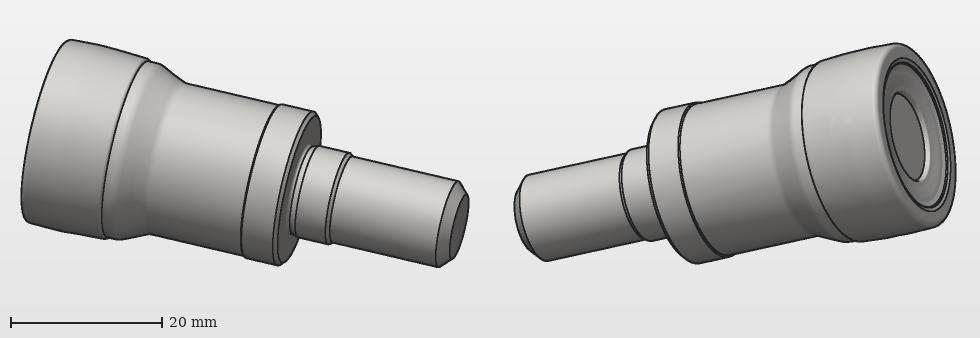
import cadquery as cq
import math


TOTAL_LENGTH = 57

CAP_LENGTH = 11.2
CAP_MAX_RADIUS = 12.6
CAP_MAX_RADIUS_X = 4.55
CAP_FRONT_RADIUS = 12.5
CAP_BACK_RADIUS = 12.3
CAP_FRONT_FILLET = 0.7
CAP_BACK_FILLET = 0.45

DISH_RIM_RADIUS = 10.4
RIM_SLOPE_RADIUS = 9.85
RIM_SLOPE_DEPTH = 0.15
STEP_RADIUS = 9.7
STEP_DEPTH = 0.35
LEDGE_RADIUS = 9.0
LEDGE_DEPTH = 0.55
CONE_OUTER_RADIUS = 8.4
CONE_OUTER_DEPTH = 0.6
CONE_INNER_RADIUS = 6.8
CONE_INNER_DEPTH = 0.9
LIP_FILLET = 0.2
LIP_RADIUS = 6.25
LIP_DEPTH = 0.95
HUB_FACE_DEPTH = 1.65

SHAFT_RADIUS = 11.75 / 2
HUB_RADIUS = SHAFT_RADIUS
FLANGE_RADIUS = 24.0 / 2
BODY_RADIUS = 20.6 / 2
BAND_RADIUS = 21.0 / 2
COLLAR_RADIUS = 12.5 / 2
NECK_RADIUS = 5.9
SHOULDER_FILLET = 2.0

SHOULDER_START = 12.75
SHOULDER_END = 16.6
BAND_START = 29.85
BAND_END = 34.9
BAND_FRONT_CHAMFER = 0.15
BAND_BACK_CHAMFER = 0.5
NECK_FILLET = 0.45
COLLAR_START = 36.2
COLLAR_END = 40.85
COLLAR_CHAMFER = 0.5
TIP_CHAMFER = 1.5


def revolve_about_x(profile):
    """Turn a closed (x, radius) profile into a solid about the X axis."""
    return profile.close().revolve(360, (0, 0, 0), (1, 0, 0))


def quarter_arc_middle(center_x, center_radius, fillet, x_side, radius_side):
    """Middle point of a quarter round; the sides (+1 or -1) pick the quadrant."""
    offset = fillet * math.sqrt(0.5)
    return (center_x + x_side * offset, center_radius + radius_side * offset)


def make_cap():
    front_center_radius = CAP_FRONT_RADIUS - CAP_FRONT_FILLET
    back_center = (CAP_LENGTH - CAP_BACK_FILLET, CAP_BACK_RADIUS - CAP_BACK_FILLET)
    bore_mouth = (LIP_DEPTH + LIP_FILLET, LIP_RADIUS - LIP_FILLET)

    profile = (
        cq.Workplane("XY")
        .moveTo(0, DISH_RIM_RADIUS)
        .lineTo(0, front_center_radius)
        .threePointArc(
            quarter_arc_middle(CAP_FRONT_FILLET, front_center_radius, CAP_FRONT_FILLET, -1, 1),
            (CAP_FRONT_FILLET, CAP_FRONT_RADIUS),
        )
        .threePointArc((CAP_MAX_RADIUS_X, CAP_MAX_RADIUS), (back_center[0], CAP_BACK_RADIUS))
        .threePointArc(
            quarter_arc_middle(*back_center, CAP_BACK_FILLET, 1, 1),
            (CAP_LENGTH, back_center[1]),
        )
        .lineTo(CAP_LENGTH, HUB_RADIUS)
        .lineTo(HUB_FACE_DEPTH, HUB_RADIUS)
        .lineTo(*bore_mouth)
        .threePointArc(
            quarter_arc_middle(bore_mouth[0], LIP_RADIUS, LIP_FILLET, -1, -1),
            (LIP_DEPTH, LIP_RADIUS),
        )
        .lineTo(CONE_INNER_DEPTH, CONE_INNER_RADIUS)
        .lineTo(CONE_OUTER_DEPTH, CONE_OUTER_RADIUS)
        .lineTo(LEDGE_DEPTH, LEDGE_RADIUS)
        .lineTo(STEP_DEPTH, STEP_RADIUS)
        .lineTo(RIM_SLOPE_DEPTH, RIM_SLOPE_RADIUS)
    )
    return revolve_about_x(profile)


def make_stem():
    shoulder_length = SHOULDER_END - SHOULDER_START
    shoulder_angle = math.atan2(FLANGE_RADIUS - BODY_RADIUS, shoulder_length)
    tangent_length = SHOULDER_FILLET * math.tan(shoulder_angle / 2)
    tangent_x = tangent_length * math.cos(shoulder_angle)
    tangent_drop = tangent_length * math.sin(shoulder_angle)

    neck_start = BAND_END + NECK_FILLET
    neck_root = quarter_arc_middle(neck_start, NECK_RADIUS + NECK_FILLET, NECK_FILLET, -1, -1)

    profile = (
        cq.Workplane("XY")
        .moveTo(HUB_FACE_DEPTH, 0)
        .lineTo(HUB_FACE_DEPTH, HUB_RADIUS)
        .lineTo(CAP_LENGTH, HUB_RADIUS)
        .lineTo(CAP_LENGTH, FLANGE_RADIUS)
        .lineTo(SHOULDER_START - tangent_length, FLANGE_RADIUS)
        .tangentArcPoint((SHOULDER_START + tangent_x, FLANGE_RADIUS - tangent_drop), relative=False)
        .lineTo(SHOULDER_END - tangent_x, BODY_RADIUS + tangent_drop)
        .tangentArcPoint((SHOULDER_END + tangent_length, BODY_RADIUS), relative=False)
        .lineTo(BAND_START, BODY_RADIUS)
        .lineTo(BAND_START + BAND_FRONT_CHAMFER, BAND_RADIUS)
        .lineTo(BAND_END - BAND_BACK_CHAMFER, BAND_RADIUS)
        .lineTo(BAND_END, BAND_RADIUS - BAND_BACK_CHAMFER)
        .lineTo(BAND_END, NECK_RADIUS + NECK_FILLET)
        .threePointArc(neck_root, (neck_start, NECK_RADIUS))
        .lineTo(COLLAR_START, COLLAR_RADIUS)
        .lineTo(COLLAR_END - COLLAR_CHAMFER, COLLAR_RADIUS)
        .lineTo(COLLAR_END, SHAFT_RADIUS)
        .lineTo(TOTAL_LENGTH - TIP_CHAMFER, SHAFT_RADIUS)
        .lineTo(TOTAL_LENGTH, SHAFT_RADIUS - TIP_CHAMFER)
        .lineTo(TOTAL_LENGTH, 0)
    )
    return revolve_about_x(profile)


cap = make_cap()
stem = make_stem()

result = cq.Compound.makeCompound([cap.val(), stem.val()])